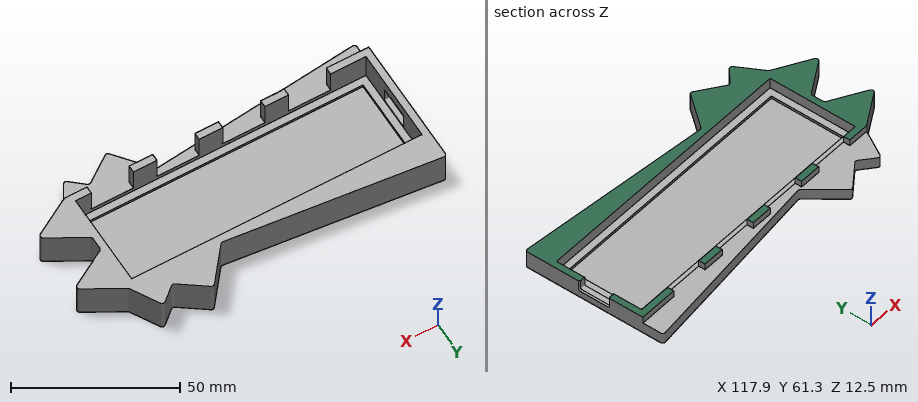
import cadquery as cq

overall_length = 117.9
total_height = 12.5
shelf_height = 4.0
ledge_height = 2.5
floor_height = 1.5

wall = 2.5
cavity_length = 100.0
cavity_width = 32.3
ledge_width = 2.5
body_length = cavity_length + 2 * wall
body_half_width = cavity_width / 2 + wall

tail_half_width = 26.4
neck_x = 73.1
spike_notch_half_gap = 2.5
large_spike_tip = (83.0, 31.0)
side_notch = (93.0, 23.8)
small_spike_tip = (99.0, 29.0)
corner_radius = 1.0
end_spike_tip_x = overall_length + corner_radius

opening_count = 4
opening_start = 14.6
opening_length = 14.5
opening_pitch = 22.6

port_width = 11.0
port_height = 5.5
port_bottom = 3.0
port_radius = 0.5
port_chamfer = 0.5
chamfer_angle = 45


def box(x_start, y_start, z_start, length, width, height):
    """Box located by its minimum corner."""
    block = cq.Workplane("XY").box(length, width, height, centered=False)
    return block.translate((x_start, y_start, z_start))


def star_plate():
    """Full-height plate with the complete symmetric outline."""
    end_spike_tip_y = (body_half_width + spike_notch_half_gap) / 2
    upper_half = [
        (0, tail_half_width),
        (neck_x, body_half_width),
        large_spike_tip,
        side_notch,
        small_spike_tip,
        (body_length, body_half_width),
        (end_spike_tip_x, end_spike_tip_y),
        (body_length, spike_notch_half_gap),
    ]
    lower_half = [(x, -y) for x, y in reversed(upper_half)]
    plate = cq.Workplane("XY").polyline(upper_half + lower_half).close().extrude(total_height)
    return plate.edges("|Z").fillet(corner_radius)


def front_cut():
    """Material removed above the front shelf."""
    return box(0, -2 * body_half_width, shelf_height, body_length, body_half_width, total_height)


def tray_cavity():
    """Main cavity and the lower pocket inside its ledge."""
    cavity = box(wall, -cavity_width / 2, ledge_height, cavity_length, cavity_width, total_height)
    pocket_length = cavity_length - 2 * ledge_width
    pocket_width = cavity_width - 2 * ledge_width
    pocket = box(wall + ledge_width, -pocket_width / 2, floor_height, pocket_length, pocket_width, total_height)
    return cavity.union(pocket)


def wall_opening(index):
    """One gap through the front wall, down to the shelf."""
    x_start = opening_start + index * opening_pitch
    return box(x_start, -body_half_width, shelf_height, opening_length, wall, total_height)


def connector_port():
    """Rounded rectangular port through the end wall, flared at its outer face."""
    port = box(0, -port_width / 2, port_bottom, wall, port_width, port_height)
    port = port.edges("|X").fillet(port_radius)
    mouth = (
        cq.Workplane("YZ", origin=(0, 0, port_bottom + port_height / 2))
        .sketch()
        .rect(port_width + 2 * port_chamfer, port_height + 2 * port_chamfer)
        .vertices()
        .fillet(port_radius + port_chamfer)
        .finalize()
        .extrude(port_chamfer, taper=chamfer_angle)
    )
    return port.union(mouth)


result = star_plate().cut(front_cut()).cut(tray_cavity()).cut(connector_port())
for opening_index in range(opening_count):
    result = result.cut(wall_opening(opening_index))